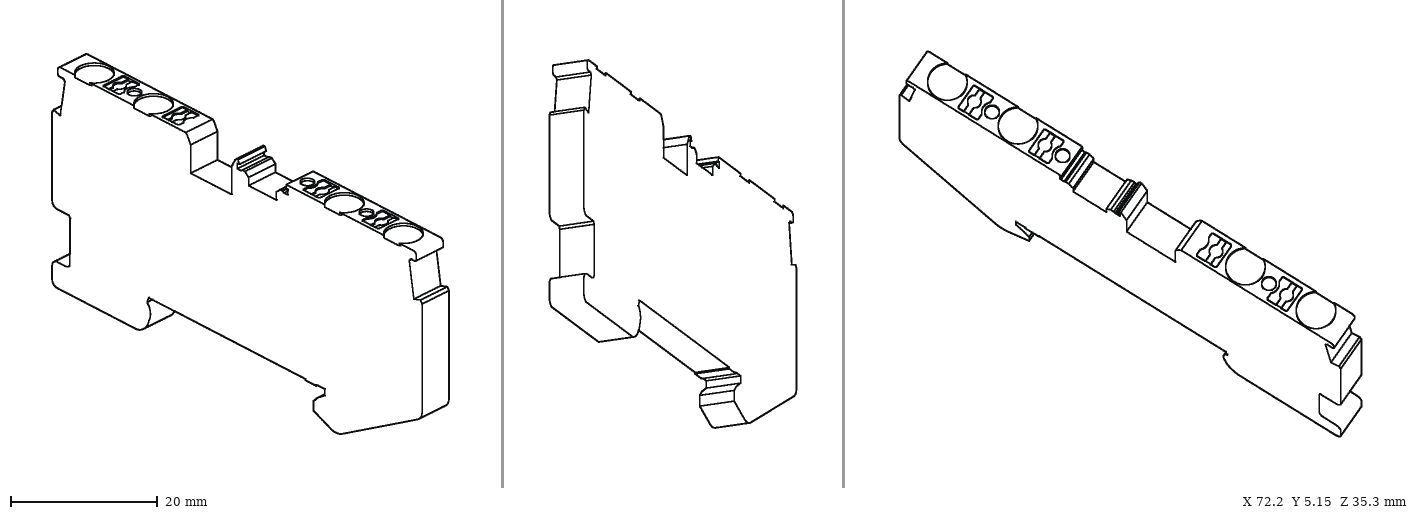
import cadquery as cq
import math

LENGTH = 72.2
THICKNESS = 5.15
HEIGHT = 35.25
MID_X = LENGTH / 2

LIP_INSET = 1.1
LIP_HEIGHT = 1.55
LIP_TOP_RADIUS = 0.6
LIP_LOW_RADIUS = 0.4
LIP_ROOT_CHAMFER = 0.3
NECK_TOP_INSET = 2.5
NECK_TOP_DROP = 1.9
NECK_TOP_Z = HEIGHT - NECK_TOP_DROP
NECK_FOOT_INSET = 1.6
NECK_FOOT_Z = 27.6
SHOULDER_Z = 28.0
SHOULDER_CHAMFER_X = 0.3
SHOULDER_CHAMFER_Z = 0.5

SLOT_LEFT = 27.05
SLOT_RIGHT = 35.05
SLOT_FLOOR_Z = 29.2
CREST_LEFT = 26.1
BEVEL_TOP_X = 0.65
BEVEL_TOP_Z = 34.95
BEVEL_FOOT_Z = 33.7

GROOVE_LEFT = 38.35
GROOVE_RIGHT = 43.8
GROOVE_FLOOR_Z = 32.0
GROOVE_EDGE_Z = 33.3
SEAT_Z = 33.75
BUMP_Z = 33.95
BUMP_CHAMFER = 0.7
BUMP_FLAT = 0.5
BUMP_FOOT = 0.25
SEAT_LEFT = 36.15
SEAT_RIGHT = 46.0
HOOK_Z = 34.6
HOOK_REACH = 0.4
HOOK_CREST_START = 36.0
HOOK_CREST_END = 36.3
CREST_RIGHT = 45.7

FOOT_NOTCH_X = 3.5
FOOT_NOTCH_TOP_Z = 12.5
FOOT_TOP_Z = 4.15
FOOT_NOTCH_CHAMFER_X = 0.2
FOOT_NOTCH_CHAMFER_Z = 0.4
FOOT_EDGE_RADIUS = 1.0
FOOT_ROOT_RADIUS = 0.8
FOOT_FLAT_END = 16.7
TOE_LOW = (18.2, 0.95)
TOE_SIDE = (18.95, 2.5)
TOE_BULGE = (19.2, 3.9)
TOE_TOP = (18.55, 5.15)
RAIL_X = 18.85
RAIL_Z = 6.0

STOP_LEFT = 49.4
STOP_RIGHT = 51.6
STOP_DROP = 0.2
CATCH_ROOT_X = 53.2
CATCH_ROOT_Z = 4.95
CATCH_NOSE_X = 51.0
CATCH_NOSE_TOP_Z = 3.2
CATCH_NOSE_LOW_Z = 1.65
CATCH_STEP = (51.75, 4.0)
CATCH_LOW_X = 55.3
CATCH_ROUND_LEFT = (54.5, 0.15)
CATCH_ROUND_RIGHT = (56.75, 0.4)
RAMP_ANGLE = 30
RAMP_CORNER_RADIUS = 1.8

PITCH = 11.55
BUTTON_X = 5.95
BUTTON_Y = -0.3
BUTTON_DIAMETER = 5.4
BUTTON_DEPTH = 0.4
ENTRY_LEFT = 9.2
ENTRY_RIGHT = 12.45
ENTRY_FRONT = -1.9
ENTRY_BACK = 2.05
ENTRY_CORNER_RADIUS = 0.2
ENTRY_DEPTH = 0.2
KEYHOLE_X = 10.55
KEYHOLE_DIAMETER = 1.85
KEYHOLE_SLOT = 0.85
KEYHOLE_DEPTH = 0.4
TEST_HOLE_X = 13.45
TEST_HOLE_DIAMETER = 2.0
TEST_HOLE_DEPTH = 0.4
TEST_HOLE_RIM = 0.42


def body():
    """The side outline, drawn clockwise from the left end of the top, through the thickness."""
    ramp_slope = math.tan(math.radians(RAMP_ANGLE))
    ramp_end_z = CATCH_ROUND_RIGHT[1] + (LENGTH - CATCH_ROUND_RIGHT[0]) * ramp_slope
    lip_z = HEIGHT - LIP_HEIGHT
    outline = (
        cq.Workplane("XZ", origin=(0, THICKNESS / 2, 0))
        .moveTo(LIP_INSET, HEIGHT)
        .lineTo(CREST_LEFT, HEIGHT)
        .lineTo(SLOT_LEFT - BEVEL_TOP_X, BEVEL_TOP_Z)
        .lineTo(SLOT_LEFT, BEVEL_FOOT_Z)
        .lineTo(SLOT_LEFT, SLOT_FLOOR_Z)
        .lineTo(SLOT_RIGHT, SLOT_FLOOR_Z)
        .lineTo(SLOT_RIGHT, BEVEL_FOOT_Z)
        .lineTo(SLOT_RIGHT + BEVEL_TOP_X, BEVEL_TOP_Z)
        .lineTo(HOOK_CREST_START, HEIGHT)
        .lineTo(HOOK_CREST_END, HEIGHT)
        .lineTo(SEAT_LEFT + HOOK_REACH, HOOK_Z)
        .lineTo(SEAT_LEFT, HOOK_Z)
        .lineTo(SEAT_LEFT, SEAT_Z)
        .lineTo(GROOVE_LEFT - BUMP_CHAMFER - BUMP_FLAT - BUMP_FOOT, SEAT_Z)
        .lineTo(GROOVE_LEFT - BUMP_CHAMFER - BUMP_FLAT, BUMP_Z)
        .lineTo(GROOVE_LEFT - BUMP_CHAMFER, BUMP_Z)
        .lineTo(GROOVE_LEFT, GROOVE_EDGE_Z)
        .lineTo(GROOVE_LEFT, GROOVE_FLOOR_Z)
        .lineTo(GROOVE_RIGHT, GROOVE_FLOOR_Z)
        .lineTo(GROOVE_RIGHT, GROOVE_EDGE_Z)
        .lineTo(GROOVE_RIGHT + BUMP_CHAMFER, BUMP_Z)
        .lineTo(GROOVE_RIGHT + BUMP_CHAMFER + BUMP_FLAT, BUMP_Z)
        .lineTo(GROOVE_RIGHT + BUMP_CHAMFER + BUMP_FLAT + BUMP_FOOT, SEAT_Z)
        .lineTo(SEAT_RIGHT, SEAT_Z)
        .lineTo(SEAT_RIGHT, HOOK_Z)
        .lineTo(SEAT_RIGHT - HOOK_REACH, HOOK_Z)
        .lineTo(CREST_RIGHT, HEIGHT)
        .lineTo(LENGTH - LIP_INSET, HEIGHT)
        .lineTo(LENGTH - LIP_INSET, lip_z)
        .lineTo(LENGTH - NECK_TOP_INSET + LIP_ROOT_CHAMFER, lip_z)
        .lineTo(LENGTH - NECK_TOP_INSET, NECK_TOP_Z)
        .lineTo(LENGTH - NECK_FOOT_INSET, NECK_FOOT_Z)
        .lineTo(LENGTH - SHOULDER_CHAMFER_X, SHOULDER_Z)
        .lineTo(LENGTH, SHOULDER_Z - SHOULDER_CHAMFER_Z)
        .lineTo(LENGTH, ramp_end_z)
        .lineTo(*CATCH_ROUND_RIGHT)
        .threePointArc((CATCH_LOW_X, 0), CATCH_ROUND_LEFT)
        .lineTo(CATCH_NOSE_X, CATCH_NOSE_LOW_Z)
        .lineTo(CATCH_NOSE_X, CATCH_NOSE_TOP_Z)
        .lineTo(*CATCH_STEP)
        .lineTo(CATCH_ROOT_X, CATCH_ROOT_Z)
        .lineTo(CATCH_ROOT_X, RAIL_Z)
        .lineTo(STOP_RIGHT, RAIL_Z)
        .lineTo(STOP_RIGHT, RAIL_Z - STOP_DROP)
        .lineTo(STOP_LEFT, RAIL_Z - STOP_DROP)
        .lineTo(STOP_LEFT, RAIL_Z)
        .lineTo(RAIL_X, RAIL_Z)
        .lineTo(*TOE_TOP)
        .threePointArc(TOE_BULGE, TOE_SIDE)
        .threePointArc(TOE_LOW, (FOOT_FLAT_END, 0))
        .lineTo(0, 0)
        .lineTo(0, FOOT_TOP_Z)
        .lineTo(FOOT_NOTCH_X, FOOT_TOP_Z)
        .lineTo(FOOT_NOTCH_X, FOOT_NOTCH_TOP_Z - FOOT_NOTCH_CHAMFER_Z)
        .lineTo(FOOT_NOTCH_X - FOOT_NOTCH_CHAMFER_X, FOOT_NOTCH_TOP_Z)
        .lineTo(0, FOOT_NOTCH_TOP_Z)
        .lineTo(0, SHOULDER_Z - SHOULDER_CHAMFER_Z)
        .lineTo(SHOULDER_CHAMFER_X, SHOULDER_Z)
        .lineTo(NECK_FOOT_INSET, NECK_FOOT_Z)
        .lineTo(NECK_TOP_INSET, NECK_TOP_Z)
        .lineTo(NECK_TOP_INSET - LIP_ROOT_CHAMFER, lip_z)
        .lineTo(LIP_INSET, lip_z)
        .close()
    )
    solid = outline.extrude(THICKNESS)
    lip_ends = (LIP_INSET, LENGTH - LIP_INSET)
    solid = round_corners(solid, [(x, HEIGHT) for x in lip_ends], LIP_TOP_RADIUS)
    solid = round_corners(solid, [(x, lip_z) for x in lip_ends], LIP_LOW_RADIUS)
    foot_edges = [(0, z) for z in (0, FOOT_TOP_Z, FOOT_NOTCH_TOP_Z)]
    solid = round_corners(solid, foot_edges, FOOT_EDGE_RADIUS)
    solid = round_corners(solid, [(FOOT_NOTCH_X, FOOT_TOP_Z)], FOOT_ROOT_RADIUS)
    return round_corners(solid, [(LENGTH, ramp_end_z)], RAMP_CORNER_RADIUS)


def round_corners(solid, corners, radius):
    """Fillet the edges along Y that stand at the given (x, z) corners."""
    reach = 0.05
    for x, z in corners:
        corner = cq.selectors.BoxSelector(
            (x - reach, -THICKNESS, z - reach), (x + reach, THICKNESS, z + reach)
        )
        solid = solid.edges(corner).fillet(radius)
    return solid


def top_plane(x, y=0):
    """Work plane on the top face, centred at the given point."""
    return cq.Workplane("XY", origin=(x, y, HEIGHT))


def round_tool(x, y, diameter, depth):
    """Cylinder reaching from the top face down to the given depth."""
    return top_plane(x, y).circle(diameter / 2).extrude(-depth)


def button_recess(shift):
    """Shallow round recess that breaks out through the front face."""
    return round_tool(BUTTON_X + shift, BUTTON_Y, BUTTON_DIAMETER, BUTTON_DEPTH)


def wire_entry(shift):
    """Rectangular recess with a deeper keyhole, stepping around the test hole place beside it."""
    size_x = ENTRY_RIGHT - ENTRY_LEFT
    size_y = ENTRY_BACK - ENTRY_FRONT
    center_x = (ENTRY_LEFT + ENTRY_RIGHT) / 2 + shift
    center_y = (ENTRY_BACK + ENTRY_FRONT) / 2
    pocket = top_plane(center_x, center_y).rect(size_x, size_y).extrude(-ENTRY_DEPTH)
    pocket = pocket.edges("|Z").fillet(ENTRY_CORNER_RADIUS)
    rim_diameter = TEST_HOLE_DIAMETER + 2 * TEST_HOLE_RIM
    pocket = pocket.cut(round_tool(TEST_HOLE_X + shift, 0, rim_diameter, ENTRY_DEPTH))
    keyhole_x = KEYHOLE_X + shift
    slot = top_plane(keyhole_x, center_y).rect(KEYHOLE_SLOT, size_y).extrude(-KEYHOLE_DEPTH)
    eye = round_tool(keyhole_x, 0, KEYHOLE_DIAMETER, KEYHOLE_DEPTH)
    return pocket.union(slot).union(eye)


def test_hole(shift):
    """Small round recess beside a wire entry."""
    return round_tool(TEST_HOLE_X + shift, 0, TEST_HOLE_DIAMETER, TEST_HOLE_DEPTH)


def mirrored(tool):
    """The same recess on the right half of the part."""
    return tool.mirror("YZ", (MID_X, 0, 0))


result = body()
for terminal_shift in (0, PITCH):
    for recess in (button_recess(terminal_shift), wire_entry(terminal_shift)):
        result = result.cut(recess).cut(mirrored(recess))
    result = result.cut(mirrored(test_hole(terminal_shift)))
result = result.cut(test_hole(0))